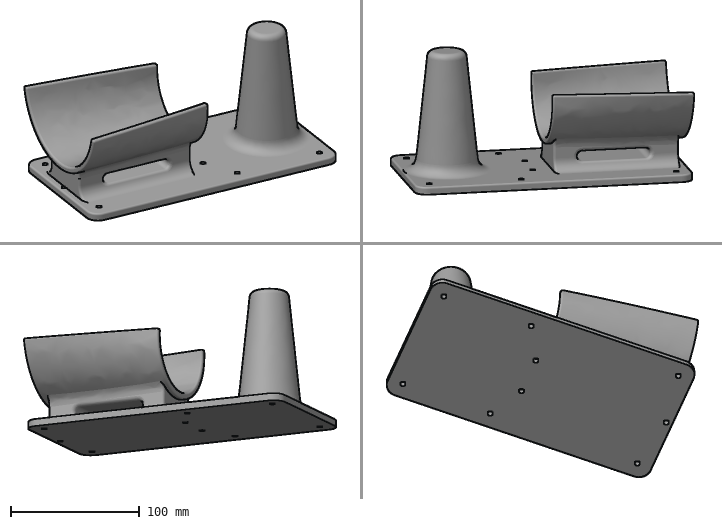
import cadquery as cq
import math

PLATE_WIDTH = 110.0
PLATE_LENGTH = 220.0
PLATE_THICKNESS = 6.0
PLATE_CORNER_RADIUS = 10.0
PLATE_EDGE_ROUND = 1.5

HOLE_DIAMETER = 4.0
HOLE_MARGIN = 12.0
MIDDLE_HOLE_Y = 25.0
INNER_HOLE_X = 15.0
INNER_HOLE_Y = 10.0
FRONT_HOLE_Y = -105.0

POST_Y = 75.0
POST_TOP_Z = 101.0
POST_BASE_RADIUS = 25.0
POST_TOP_RADIUS = 15.0
POST_FOOT_FILLET = 10.0
POST_TOP_FILLET = 5.0

CRADLE_FRONT_Y = -PLATE_LENGTH / 2
CRADLE_BACK_Y = -0.5
CRADLE_BOTTOM_Z = 23.8
CRADLE_TOP_Z = 71.0
CRADLE_WALL = 5.0
CRADLE_FRONT_RADIUS = 57.43
CRADLE_BACK_RADIUS = 42.5
CRADLE_RIM_ROUND = 1.5

PEDESTAL_WIDTH = 45.0
PEDESTAL_FRONT_Y = -104.25
PEDESTAL_BACK_Y = -5.0
PEDESTAL_FILLET = 10.0
PEDESTAL_CORNER_ROUND = 2.0
PEDESTAL_SINK = 3.0

SLOT_LENGTH = 58.0
SLOT_HEIGHT = 8.0
SLOT_Y = -53.0
SLOT_Z = 16.5
SLOT_EDGE_ROUND = 3.0
SELECTION_MARGIN = 1.0


def make_plate():
    plate = (
        cq.Workplane("XY")
        .rect(PLATE_WIDTH, PLATE_LENGTH)
        .extrude(PLATE_THICKNESS)
        .edges("|Z")
        .fillet(PLATE_CORNER_RADIUS)
    )
    return plate.faces(">Z").edges().fillet(PLATE_EDGE_ROUND)


def drill_holes(body):
    """Through holes in the plate; the front one runs partly below the pedestal."""
    corner_x = PLATE_WIDTH / 2 - HOLE_MARGIN
    corner_y = PLATE_LENGTH / 2 - HOLE_MARGIN
    points = [(0, FRONT_HOLE_Y)]
    for side in (-1, 1):
        points.append((side * corner_x, corner_y))
        points.append((side * corner_x, MIDDLE_HOLE_Y))
        points.append((side * corner_x, -corner_y))
        points.append((side * INNER_HOLE_X, INNER_HOLE_Y))
    holes = cq.Workplane("XY").pushPoints(points).circle(HOLE_DIAMETER / 2).extrude(PLATE_THICKNESS)
    return body.cut(holes)


def make_post():
    """Cone revolved about its own axis, with a flared foot and a rounded top."""
    post_height = POST_TOP_Z - PLATE_THICKNESS
    taper = math.atan2(POST_BASE_RADIUS - POST_TOP_RADIUS, post_height)
    foot_setback = POST_FOOT_FILLET * math.tan(math.pi / 4 - taper / 2)
    foot_radius = POST_BASE_RADIUS + foot_setback
    foot_center_z = PLATE_THICKNESS + POST_FOOT_FILLET
    foot_mid_angle = math.pi / 4 - taper / 2
    foot_mid = (
        foot_radius - POST_FOOT_FILLET * math.sin(foot_mid_angle),
        foot_center_z - POST_FOOT_FILLET * math.cos(foot_mid_angle),
    )
    foot_end = (
        foot_radius - POST_FOOT_FILLET * math.cos(taper),
        foot_center_z - POST_FOOT_FILLET * math.sin(taper),
    )
    profile = (
        cq.Workplane("XZ")
        .moveTo(0, 0)
        .lineTo(foot_radius, 0)
        .lineTo(foot_radius, PLATE_THICKNESS)
        .threePointArc(foot_mid, foot_end)
        .lineTo(POST_TOP_RADIUS, POST_TOP_Z)
        .lineTo(0, POST_TOP_Z)
        .close()
    )
    post = profile.revolve(360, (0, 0, 0), (0, 1, 0))
    return post.faces(">Z").edges().fillet(POST_TOP_FILLET).translate((0, POST_Y, 0))


def trough(inset):
    """Flared tapered body, smaller than the cradle's outside by the given inset."""
    back_radius = CRADLE_BACK_RADIUS - inset
    front_radius = CRADLE_FRONT_RADIUS - inset
    return (
        cq.Workplane("XZ", origin=(0, CRADLE_BACK_Y, 0))
        .center(0, CRADLE_BOTTOM_Z + CRADLE_BACK_RADIUS)
        .circle(back_radius)
        .workplane(offset=CRADLE_BACK_Y - CRADLE_FRONT_Y)
        .center(0, CRADLE_FRONT_RADIUS - CRADLE_BACK_RADIUS)
        .circle(front_radius)
        .loft(ruled=True)
    )


def make_cradle():
    trim_size = 2 * PLATE_LENGTH
    above_rim = (
        cq.Workplane("XY", origin=(0, 0, CRADLE_TOP_Z))
        .rect(trim_size, trim_size)
        .extrude(trim_size)
    )
    shell = trough(0).cut(trough(CRADLE_WALL)).cut(above_rim)
    return shell.edges().fillet(CRADLE_RIM_ROUND)


def pedestal_section(y):
    """Wire of the pedestal at y: fillets run down to the plate and up to the cradle's round."""
    along = (CRADLE_BACK_Y - y) / (CRADLE_BACK_Y - CRADLE_FRONT_Y)
    cradle_radius = CRADLE_BACK_RADIUS + along * (CRADLE_FRONT_RADIUS - CRADLE_BACK_RADIUS)
    cradle_center_z = CRADLE_BOTTOM_Z + cradle_radius
    half_width = PEDESTAL_WIDTH / 2
    sunk_z = PLATE_THICKNESS - PEDESTAL_SINK
    fillet_x = half_width + PEDESTAL_FILLET
    lower_z = PLATE_THICKNESS + PEDESTAL_FILLET
    center_distance = cradle_radius + PEDESTAL_FILLET
    upper_angle = math.acos(fillet_x / center_distance)
    upper_z = cradle_center_z - center_distance * math.sin(upper_angle)
    diagonal = PEDESTAL_FILLET * math.sqrt(0.5)

    def upper_point(angle):
        return (
            fillet_x - PEDESTAL_FILLET * math.cos(angle),
            upper_z + PEDESTAL_FILLET * math.sin(angle),
        )

    sunk_radius = cradle_radius - CRADLE_WALL / 2
    sunk = (
        sunk_radius * math.cos(upper_angle),
        cradle_center_z - sunk_radius * math.sin(upper_angle),
    )

    def mirrored(point):
        return (-point[0], point[1])

    foot = (fillet_x, PLATE_THICKNESS)
    lower_mid = (fillet_x - diagonal, lower_z - diagonal)
    lower_end = (half_width, lower_z)
    upper_start = (half_width, upper_z)
    upper_mid = upper_point(upper_angle / 2)
    upper_end = upper_point(upper_angle)
    outline = (
        cq.Workplane("XZ", origin=(0, y, 0))
        .moveTo(fillet_x, sunk_z)
        .lineTo(*foot)
        .threePointArc(lower_mid, lower_end)
        .lineTo(*upper_start)
        .threePointArc(upper_mid, upper_end)
        .lineTo(*sunk)
        .threePointArc((0, cradle_center_z - sunk_radius), mirrored(sunk))
        .lineTo(*mirrored(upper_end))
        .threePointArc(mirrored(upper_mid), mirrored(upper_start))
        .lineTo(*mirrored(lower_end))
        .threePointArc(mirrored(lower_mid), mirrored(foot))
        .lineTo(-fillet_x, sunk_z)
        .close()
    )
    return outline.val()


def is_end_corner(edge):
    """True for the side edges of a pedestal end face, between plate and cradle wall."""
    center = edge.Center()
    is_above_plate = center.z > PLATE_THICKNESS
    is_on_side = abs(center.x) > PEDESTAL_WIDTH / 2 - PEDESTAL_CORNER_ROUND
    return is_above_plate and is_on_side


def make_pedestal():
    sections = [pedestal_section(PEDESTAL_FRONT_Y), pedestal_section(PEDESTAL_BACK_Y)]
    body = cq.Workplane("XY").add(cq.Solid.makeLoft(sections, True))
    end_edges = body.faces("<Y or >Y").edges().vals()
    corners = [edge for edge in end_edges if is_end_corner(edge)]
    return body.newObject(corners).fillet(PEDESTAL_CORNER_ROUND)


def cut_slot(pedestal):
    """Stadium slot through the pedestal along X, with rounded mouths."""
    reach = PEDESTAL_WIDTH + 2 * PEDESTAL_FILLET
    slot = (
        cq.Workplane("YZ", origin=(-reach / 2, SLOT_Y, SLOT_Z))
        .slot2D(SLOT_LENGTH, SLOT_HEIGHT)
        .extrude(reach)
    )
    slotted = pedestal.cut(slot)
    half_length = SLOT_LENGTH / 2 + SELECTION_MARGIN
    half_height = SLOT_HEIGHT / 2 + SELECTION_MARGIN
    slot_zone = cq.selectors.BoxSelector(
        (-reach, SLOT_Y - half_length, SLOT_Z - half_height),
        (reach, SLOT_Y + half_length, SLOT_Z + half_height),
        boundingbox=True,
    )
    mouth_edges = [
        edge
        for edge in slotted.edges(slot_zone).vals()
        if edge.BoundingBox().xlen < PEDESTAL_WIDTH / 2
    ]
    return slotted.newObject(mouth_edges).fillet(SLOT_EDGE_ROUND)


body = make_plate().union(make_post()).union(cut_slot(make_pedestal()))
result = drill_holes(body).union(make_cradle())